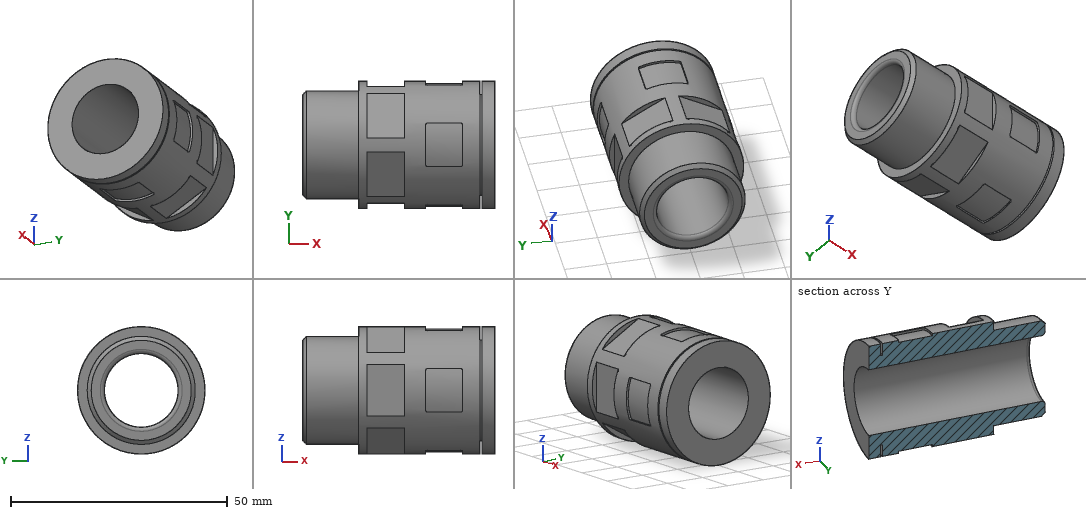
import cadquery as cq

length = 44.5
body_diameter = 29.5
spigot_diameter = 25.0
spigot_length = 12.95
spigot_chamfer = 0.95
bore_diameter = 17.0
bore_mouth_radius = 1.0

groove_diameter = 23.4
groove_width = 0.45
end_ring_width = 3.03

flat_count = 6
across_flats = 27.0
flat_start = 14.9
flat_length = 8.65

pocket_count = 4
pocket_start = 28.5
pocket_length = 8.5
pocket_width = 10.05
pocket_floor_diameter = 28.45
pocket_corner_radius = 0.4

clearance = 2.22


def cylinder(diameter, start, width):
    """Solid cylinder along X beginning at the given position."""
    return cq.Workplane("YZ", origin=(start, 0, 0)).circle(diameter / 2).extrude(width)


def make_turned_body():
    spigot = cylinder(spigot_diameter, 0, spigot_length).faces("<X").chamfer(spigot_chamfer)
    body = cylinder(body_diameter, spigot_length, length - spigot_length)
    bore = cylinder(bore_diameter, 0, length)
    turned = spigot.union(body).cut(bore)
    mouth_edge = turned.faces("<X").edges(cq.selectors.RadiusNthSelector(0))
    return mouth_edge.fillet(bore_mouth_radius)


def make_groove():
    start = length - end_ring_width - groove_width
    core = cylinder(groove_diameter, start, groove_width)
    return cylinder(body_diameter + clearance, start, groove_width).cut(core)


def make_flats_cutter():
    """Ring outside a hexagonal prism with flats facing +Y and -Y."""
    ring = cylinder(body_diameter + clearance, flat_start, flat_length)
    hexagon = (
        cq.Workplane("YZ", origin=(flat_start, 0, 0))
        .polygon(flat_count, across_flats, circumscribed=True)
        .extrude(flat_length)
    )
    return ring.cut(hexagon)


def make_pocket_cutter():
    """Cutter for the pocket on the +Z side."""
    block = (
        cq.Workplane("XY")
        .center(pocket_start + pocket_length / 2, 0)
        .rect(pocket_length, pocket_width)
        .extrude(body_diameter / 2 + clearance)
        .edges("|Z")
        .fillet(pocket_corner_radius)
    )
    return block.cut(cylinder(pocket_floor_diameter, 0, length))


result = make_turned_body().cut(make_groove()).cut(make_flats_cutter())

pocket_cutter = make_pocket_cutter()
for index in range(pocket_count):
    angle = index * 360 / pocket_count
    result = result.cut(pocket_cutter.rotate((0, 0, 0), (1, 0, 0), angle))